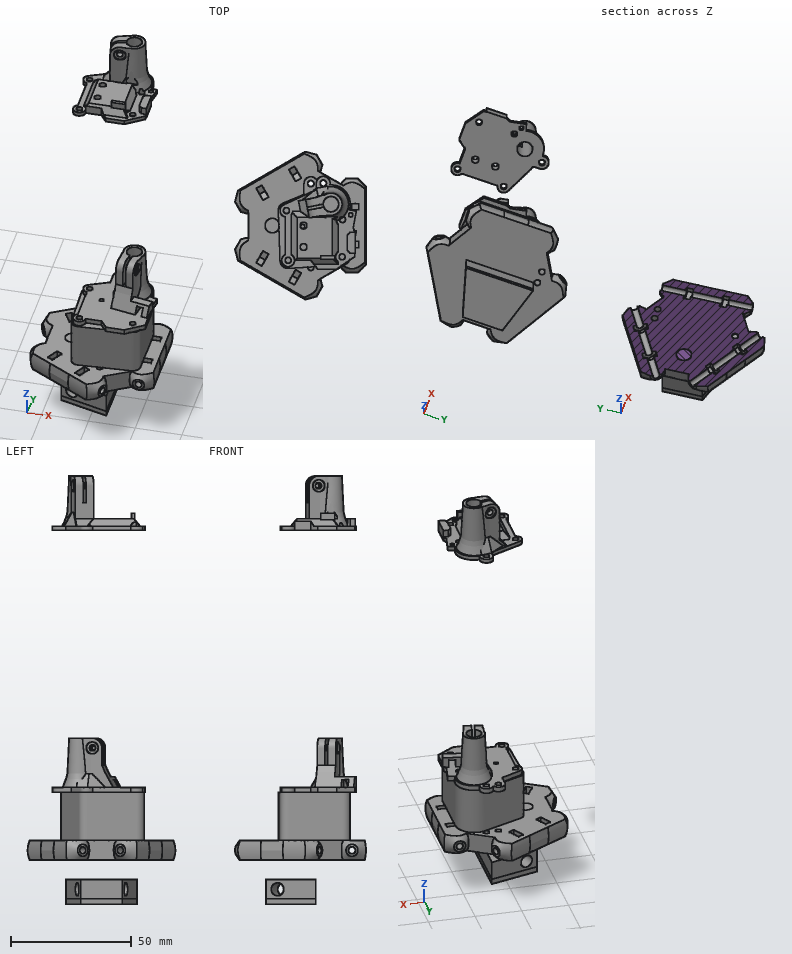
import cadquery as cq
import math

LID_HEIGHT = 2.3
BLOCK_TOP = 10.3
PLATE_BOTTOM = 18.3
PLATE_TOP = 26.5
MOTOR_TOP = 46.5
LOWER_TOP = 69.0
UPPER_BOTTOM = 155.5
UPPER_TOP = 178.0

PLATE_MID = (PLATE_BOTTOM + PLATE_TOP) / 2
ARM_COUNT = 3
ARM_ANGLE = 360 / ARM_COUNT
NOTCH_DISTANCE = 22.8
ARM_FACE = 25.6
ARM_BULGE = 0.5
ARM_INNER = 16.0
ARM_HALF_LENGTH = 19.5
ARM_AXIS = 20.3
ARM_TIP_RADIUS = 2.5
ARM_SCREW_RADIUS = 1.5
FLAT_HALF_LENGTH = 5.3
NUT_OFFSET = 7.8
NUT_ACROSS_FLATS = 5.7
NUT_THICKNESS = 2.7
DISC_X = -12.8
DISC_RADIUS = 3.0

BLOCK_BACK = -15.5
BLOCK_FRONT = 5.3
BLOCK_BACK_HALF = 8.7
BLOCK_FRONT_HALF = 14.8
BLOCK_HOLE_X = -10.7
BLOCK_HOLE_Z = 6.2
BLOCK_HOLE_RADIUS = 2.7

TOWER = (11.5, 8.9)
TOWER_SEAT_RADIUS = 8.0
SCREWS = [(-7.0, 6.2), (-6.2, -14.5), (16.2, -13.0), (16.4, 2.5)]
BACK_LEFT, FRONT_LEFT, FRONT_RIGHT, BACK_RIGHT = SCREWS
MOTOR_CORNER_RADIUS = 3.4
SCREW_BOSS_RADIUS = 2.7
SCREW_HOLE_RADIUS = 1.2
LEFT_EAR = (3.2, 17.5)
RIGHT_EAR = (8.4, 17.6)
LOWER_EARS = [LEFT_EAR, RIGHT_EAR]
UPPER_EARS = [RIGHT_EAR]
EAR_RADIUS = 2.8
EAR_HOLE_RADIUS = 1.2
LOWER_FLANGE = 2.1
UPPER_FLANGE = 1.8

TOWER_TOP_RADIUS = 4.6
TOWER_FOOT_RADIUS = 5.3
FLARE_RADIUS = 7.3
FLARE_HEIGHT = 3.5
FLARE_TOP_RADIUS = 5.9
FLARE_TIP_HEIGHT = 5.7
BORE_RADIUS = 3.2
CLAMP_REACH = 10.0
CLAMP_HALF_WIDTH = 4.0
CLAMP_WEB_START = (3.4, 4.3)
CLAMP_WEB_END = 5.3
GUSSET_FOOT = [(0, -1.8), (11.8, -3.7), (4.6, -7.7), (0, -7.7)]
GUSSET_TOP = [(0, -1.8), (6.2, -3.7), (4.6, -4.3), (0, -4.3)]
CLAMP_ROUND = 4.1
CLAMP_SLOT_WIDTH = 1.2
CLAMP_SLOT_DEPTH = 11.2
CLAMP_SCREW_RADIUS = 1.2
CLAMP_HEAD_RADIUS = 2.5
CLAMP_HEAD_DEPTH = 0.5
CLAMP_SKEW = 11
LOWER_CLAMP_ANGLE = 270 - CLAMP_SKEW
UPPER_CLAMP_ANGLE = 180 + CLAMP_SKEW

WEDGE_FOOT = 14.8
WEDGE_BREAK = (11.2, 55.0)
WEDGE_SIDE = 12.5
WEDGE_SIDE_BACK = 8.9
WEDGE_SIDE_TOP = 53.0
WEDGE_WINDOW = (7.1, 10.0)
WEDGE_WINDOW_HEIGHT = 3.2
LOWER_PIN_HOLE = (-0.2, -0.4)
UPPER_PIN_HOLE = (19.8, 4.5)
PIN_HOLE_RADIUS = 0.9

PAD_TOP = 160.2
PAD_X = (-2.5, 12.1)
PAD_Y = (-13.5, 3.4)
PAD_SLOPE = 2.5
PAD_HOLES = [(0.2, 0), (0.2, -8.9)]
PAD_HOLE_RADIUS = 1.5
TOE_REACH = 13.0
TOWER_FLAT_X = (9.5, 14.2)
TOWER_FLAT_Y = 3.7
RIB_X = (7.3, 13.2)
RIB_Y = (-13.9, -12.5)
RIB_TOP = 162.5
STOP_X = (18.3, 21.7)
STOP_Y = (-11.5, -2.7)
STOP_BEVEL = 1.2


def box(x_range, y_range, z_range):
    """Box between the given limits on each axis."""
    size = [high - low for low, high in (x_range, y_range, z_range)]
    corner = (x_range[0], y_range[0], z_range[0])
    return cq.Workplane("XY").box(*size, centered=False).translate(corner)


def posts(points, radius, bottom, top):
    """Upright cylinders at the given points."""
    cylinders = cq.Workplane("XY")
    for point in points:
        cylinder = cq.Workplane("XY", origin=(*point, bottom)).circle(radius).extrude(top - bottom)
        cylinders = cylinders.union(cylinder)
    return cylinders


def prism(points, bottom, top):
    """Upright prism on a polygon."""
    return cq.Workplane("XY").workplane(offset=bottom).polyline(points).close().extrude(top - bottom)


def belt(circles, bottom, top):
    """Prism on the outline of a belt stretched around circles (x, y, radius) in anticlockwise order."""
    starts = []
    ends = []
    angles = []
    for (x1, y1, r1), (x2, y2, r2) in zip(circles, circles[1:] + circles[:1]):
        heading = math.atan2(y2 - y1, x2 - x1)
        angle = heading - math.acos((r1 - r2) / math.hypot(x2 - x1, y2 - y1))
        angles.append(angle)
        starts.append((x1 + r1 * math.cos(angle), y1 + r1 * math.sin(angle)))
        ends.append((x2 + r2 * math.cos(angle), y2 + r2 * math.sin(angle)))
    outline = cq.Workplane("XY").workplane(offset=bottom).moveTo(*starts[0])
    for i, end in enumerate(ends):
        following = (i + 1) % len(circles)
        x, y, radius = circles[following]
        turn = (angles[following] - angles[i]) % (2 * math.pi)
        middle = angles[i] + turn / 2
        peak = (x + radius * math.cos(middle), y + radius * math.sin(middle))
        outline = outline.lineTo(*end).threePointArc(peak, starts[following])
    return outline.close().extrude(top - bottom)


def plate_core():
    """Six-sided core: three near edges between the arms, three far edges behind the arm faces."""
    half_turn = math.radians(ARM_ANGLE / 2)
    half_edge = (NOTCH_DISTANCE - ARM_FACE * math.cos(half_turn)) / math.sin(half_turn)
    points = []
    for i in range(ARM_COUNT):
        angle = math.radians(ARM_ANGLE * i)
        for side in (-half_edge, half_edge):
            x = ARM_FACE * math.cos(angle) - side * math.sin(angle)
            y = ARM_FACE * math.sin(angle) + side * math.cos(angle)
            points.append((x, y))
    return prism(points, PLATE_BOTTOM, PLATE_TOP)


def arm_bar(half_length, rounded):
    """Bar along Y whose outer face swells, as an arc or as two flats."""
    peak = (ARM_FACE + ARM_BULGE, PLATE_MID)
    bar = cq.Workplane("XZ", origin=(0, half_length, 0)).moveTo(ARM_INNER, PLATE_BOTTOM)
    bar = bar.lineTo(ARM_FACE, PLATE_BOTTOM)
    if rounded:
        bar = bar.threePointArc(peak, (ARM_FACE, PLATE_TOP))
    else:
        bar = bar.lineTo(*peak).lineTo(ARM_FACE, PLATE_TOP)
    return bar.lineTo(ARM_INNER, PLATE_TOP).close().extrude(2 * half_length)


def plate_arm():
    """Arm along Y with tips tapered at 45 degrees around its screw axis."""
    middle = box((0, 2 * ARM_FACE), (-FLAT_HALF_LENGTH, FLAT_HALF_LENGTH), (PLATE_BOTTOM, PLATE_TOP))
    arm = arm_bar(ARM_HALF_LENGTH, True).cut(middle).union(arm_bar(FLAT_HALF_LENGTH, False))
    waist = ARM_TIP_RADIUS + ARM_HALF_LENGTH
    profile = [
        (0, ARM_HALF_LENGTH), (ARM_TIP_RADIUS, ARM_HALF_LENGTH), (waist, 0),
        (ARM_TIP_RADIUS, -ARM_HALF_LENGTH), (0, -ARM_HALF_LENGTH),
    ]
    taper = cq.Workplane("XY").polyline(profile).close().revolve(360, (0, 0, 0), (0, 1, 0))
    return arm.intersect(taper.translate((ARM_AXIS, 0, PLATE_MID)))


def arm_cutters():
    """Screw hole along the arm and two nut slots that open upward."""
    hole = cq.Workplane("XZ", origin=(ARM_AXIS, ARM_HALF_LENGTH, PLATE_MID)).circle(ARM_SCREW_RADIUS)
    cutters = hole.extrude(2 * ARM_HALF_LENGTH)
    across_corners = NUT_ACROSS_FLATS / math.cos(math.radians(30))
    half_width = NUT_ACROSS_FLATS / 2
    for y in (-NUT_OFFSET, NUT_OFFSET):
        y_range = (y - NUT_THICKNESS / 2, y + NUT_THICKNESS / 2)
        nut = cq.Workplane("XZ", origin=(ARM_AXIS, y_range[1], PLATE_MID)).transformed(rotate=(0, 0, 90))
        nut = nut.polygon(6, across_corners).extrude(NUT_THICKNESS)
        opening = box((ARM_AXIS - half_width, ARM_AXIS + half_width), y_range, (PLATE_MID, PLATE_TOP))
        cutters = cutters.union(nut).union(opening)
    return cutters


def make_plate():
    plate = plate_core()
    for i in range(ARM_COUNT):
        plate = plate.union(plate_arm().rotate((0, 0, 0), (0, 0, 1), ARM_ANGLE * i))
    for i in range(ARM_COUNT):
        plate = plate.cut(arm_cutters().rotate((0, 0, 0), (0, 0, 1), ARM_ANGLE * i))
    ear_x, ear_y = LEFT_EAR
    plate = plate.cut(posts(LOWER_EARS, EAR_HOLE_RADIUS, PLATE_BOTTOM, PLATE_TOP))
    plate = plate.cut(posts([(ear_x, -ear_y)], EAR_HOLE_RADIUS, PLATE_MID, PLATE_TOP))
    return plate.cut(make_disc())


def make_disc():
    """Disc set flush in the plate."""
    return posts([(DISC_X, 0)], DISC_RADIUS, PLATE_BOTTOM, PLATE_TOP)


def tapered_slab(bottom, top):
    points = [
        (BLOCK_BACK, -BLOCK_BACK_HALF), (BLOCK_FRONT, -BLOCK_FRONT_HALF),
        (BLOCK_FRONT, BLOCK_FRONT_HALF), (BLOCK_BACK, BLOCK_BACK_HALF),
    ]
    return prism(points, bottom, top)


def make_block():
    """Block with a hole square to each slanted side; the two holes meet in the middle."""
    block = tapered_slab(LID_HEIGHT, BLOCK_TOP)
    slope = (BLOCK_FRONT_HALF - BLOCK_BACK_HALF) / (BLOCK_FRONT - BLOCK_BACK)
    face_y = BLOCK_BACK_HALF + slope * (BLOCK_HOLE_X - BLOCK_BACK)
    meeting_x = BLOCK_HOLE_X + slope * face_y
    length = 2 * math.hypot(meeting_x - BLOCK_HOLE_X, face_y)
    for side in (-1, 1):
        start = cq.Vector(meeting_x, 0, BLOCK_HOLE_Z)
        direction = cq.Vector(-slope, side, 0)
        block = block.cut(cq.Workplane(cq.Solid.makeCylinder(BLOCK_HOLE_RADIUS, length, start, direction)))
    return block


def make_lid():
    return tapered_slab(0, LID_HEIGHT)


def make_motor():
    corners = [(x, y, MOTOR_CORNER_RADIUS) for x, y in (BACK_LEFT, FRONT_LEFT, FRONT_RIGHT)]
    return belt(corners + [(*TOWER, TOWER_SEAT_RADIUS)], PLATE_TOP, MOTOR_TOP)


def flange(bottom, top, ears):
    """Flange with screw bosses, a round seat under the tower and ears beside it."""
    outline = [
        (-7.5, 6.2), (-7.5, -14.5), (3.2, -14.5), (6.0, -18.2),
        (13.9, -18.2), (21.5, -12.8), (21.5, -2.7), (20.8, -0.9), (22.0, 5.9), TOWER,
    ]
    body = prism(outline, bottom, top)
    body = body.union(belt([(*BACK_LEFT, SCREW_BOSS_RADIUS), (*TOWER, TOWER_SEAT_RADIUS)], bottom, top))
    body = body.union(posts(SCREWS, SCREW_BOSS_RADIUS, bottom, top))
    body = body.union(posts(ears, EAR_RADIUS, bottom, top))
    for x, y in ears:
        body = body.union(box((x - EAR_RADIUS, x + EAR_RADIUS), (TOWER[1], y), (bottom, top)))
    return body


def place_on_tower(shape, angle):
    """Turn a shape built around the Z axis and move it onto the tower axis."""
    return shape.rotate((0, 0, 0), (0, 0, 1), angle).translate((*TOWER, 0))


def clamp_gusset(flange_top):
    """Sloping gusset that runs from the flare along one flank of the clamp."""
    gusset = cq.Workplane("XY", origin=(0, 0, flange_top)).polyline(GUSSET_FOOT).close()
    return gusset.workplane(offset=FLARE_TIP_HEIGHT).polyline(GUSSET_TOP).close().loft(ruled=True)


def tower(bottom, flange_top, top, angle):
    """Tapered tower on a flared foot, with a clamp block that reaches out along X before turning."""
    profile = [
        (0, bottom), (FLARE_RADIUS, bottom), (FLARE_RADIUS, flange_top),
        (FLARE_TOP_RADIUS, flange_top + FLARE_HEIGHT),
        (TOWER_FOOT_RADIUS, flange_top + FLARE_TIP_HEIGHT), (TOWER_TOP_RADIUS, top), (0, top),
    ]
    body = cq.Workplane("XZ").polyline(profile).close().revolve(360, (0, 0, 0), (0, 1, 0))
    clamp = box((0, CLAMP_REACH), (-CLAMP_HALF_WIDTH, CLAMP_HALF_WIDTH), (bottom, top))
    body = body.union(clamp.edges(">X and >Z").fillet(CLAMP_ROUND))
    web_x, web_y = CLAMP_WEB_START
    web = [
        (0, -web_y), (web_x, -web_y), (CLAMP_WEB_END, -CLAMP_HALF_WIDTH),
        (CLAMP_WEB_END, CLAMP_HALF_WIDTH), (web_x, web_y), (0, web_y),
    ]
    body = body.union(prism(web, bottom, top)).union(clamp_gusset(flange_top))
    return place_on_tower(body, angle)


def tower_cutters(bottom, top, angle):
    """Bore of the tower, slot of the clamp, and the clamp screw hole with a shallow seat at each end."""
    bore = posts([(0, 0)], BORE_RADIUS, bottom, top)
    half_slot = CLAMP_SLOT_WIDTH / 2
    slot = box((0, CLAMP_REACH), (-half_slot, half_slot), (top - CLAMP_SLOT_DEPTH, top))
    screw_x = CLAMP_REACH - CLAMP_ROUND
    screw_z = top - CLAMP_ROUND
    screw = cq.Workplane("XZ", origin=(screw_x, 0, screw_z)).circle(CLAMP_SCREW_RADIUS)
    cutters = bore.union(slot).union(screw.extrude(CLAMP_HALF_WIDTH, both=True))
    floor_y = CLAMP_HALF_WIDTH - CLAMP_HEAD_DEPTH
    seat_depth = FLARE_RADIUS - floor_y
    for far_y in (FLARE_RADIUS, -floor_y):
        seat = cq.Workplane("XZ", origin=(screw_x, far_y, screw_z)).circle(CLAMP_HEAD_RADIUS)
        cutters = cutters.union(seat.extrude(seat_depth))
    return place_on_tower(cutters, angle)


def flange_holes(bottom, top, ears):
    return posts(SCREWS, SCREW_HOLE_RADIUS, bottom, top).union(posts(ears, EAR_HOLE_RADIUS, bottom, top))


def lower_wedge(flange_top):
    """Sloping foot in front of the clamp, with a lower wing to one side that has a window."""
    slope_top = LOWER_TOP - CLAMP_SLOT_DEPTH
    profile = [
        (0, flange_top), (WEDGE_FOOT, flange_top), WEDGE_BREAK, (CLAMP_REACH, slope_top), (0, slope_top),
    ]
    wedge = cq.Workplane("XZ", origin=(0, WEDGE_SIDE, 0)).polyline(profile).close()
    wedge = wedge.extrude(WEDGE_SIDE + CLAMP_HALF_WIDTH)
    side = (CLAMP_HALF_WIDTH, WEDGE_SIDE)
    wedge = wedge.cut(box((0, WEDGE_SIDE_BACK), side, (flange_top, slope_top)))
    wedge = wedge.cut(box((0, WEDGE_FOOT), side, (WEDGE_SIDE_TOP, slope_top)))
    window = box((0, WEDGE_FOOT), WEDGE_WINDOW, (flange_top, flange_top + WEDGE_WINDOW_HEIGHT))
    return place_on_tower(wedge.cut(window), LOWER_CLAMP_ANGLE)


def make_lower_mount():
    flange_top = MOTOR_TOP + LOWER_FLANGE
    mount = flange(MOTOR_TOP, flange_top, LOWER_EARS)
    mount = mount.union(tower(MOTOR_TOP, flange_top, LOWER_TOP, LOWER_CLAMP_ANGLE))
    mount = mount.union(lower_wedge(flange_top))
    mount = mount.cut(tower_cutters(MOTOR_TOP, LOWER_TOP, LOWER_CLAMP_ANGLE))
    mount = mount.cut(flange_holes(MOTOR_TOP, flange_top, LOWER_EARS))
    return mount.cut(posts([LOWER_PIN_HOLE], PIN_HOLE_RADIUS, MOTOR_TOP, flange_top))


def upper_pad(flange_top):
    """Raised pad with sloping sides, trimmed to the flange and cleared around the screw bosses."""
    x_size = PAD_X[1] - PAD_X[0]
    y_size = PAD_Y[1] - PAD_Y[0]
    center = ((PAD_X[0] + PAD_X[1]) / 2, (PAD_Y[0] + PAD_Y[1]) / 2)
    foot = cq.Workplane("XY", origin=(*center, flange_top))
    foot = foot.rect(x_size + 2 * PAD_SLOPE, y_size + 2 * PAD_SLOPE)
    pad = foot.workplane(offset=PAD_TOP - flange_top).rect(x_size, y_size).loft()
    pad = pad.intersect(flange(flange_top, PAD_TOP, UPPER_EARS))
    return pad.cut(posts(SCREWS, SCREW_BOSS_RADIUS, flange_top, PAD_TOP))


def upper_toe(flange_top):
    """Slope from the pad height down to the flange in front of the clamp."""
    profile = [(0, flange_top), (TOE_REACH, flange_top), (CLAMP_REACH, PAD_TOP), (0, PAD_TOP)]
    toe = cq.Workplane("XZ", origin=(0, CLAMP_HALF_WIDTH, 0)).polyline(profile).close()
    return place_on_tower(toe.extrude(2 * CLAMP_HALF_WIDTH), UPPER_CLAMP_ANGLE)


def make_upper_mount():
    flange_top = UPPER_BOTTOM + UPPER_FLANGE
    mount = flange(UPPER_BOTTOM, flange_top, UPPER_EARS)
    mount = mount.union(upper_pad(flange_top))
    mount = mount.union(tower(UPPER_BOTTOM, flange_top, UPPER_TOP, UPPER_CLAMP_ANGLE))
    mount = mount.union(upper_toe(flange_top))
    mount = mount.cut(box(TOWER_FLAT_X, (0, TOWER_FLAT_Y), (PAD_TOP, UPPER_TOP)))
    mount = mount.union(box(RIB_X, RIB_Y, (flange_top, RIB_TOP)))
    stop = box(STOP_X, STOP_Y, (UPPER_BOTTOM, PAD_TOP)).edges("|Z and <X").chamfer(STOP_BEVEL)
    mount = mount.union(stop)
    mount = mount.cut(tower_cutters(UPPER_BOTTOM, UPPER_TOP, UPPER_CLAMP_ANGLE))
    mount = mount.cut(flange_holes(UPPER_BOTTOM, PAD_TOP, UPPER_EARS))
    mount = mount.cut(posts([UPPER_PIN_HOLE], PIN_HOLE_RADIUS, UPPER_BOTTOM, flange_top))
    return mount.cut(posts(PAD_HOLES, PAD_HOLE_RADIUS, UPPER_BOTTOM, PAD_TOP))


lid = make_lid()
block = make_block()
plate = make_plate()
disc = make_disc()
motor = make_motor()
lower_mount = make_lower_mount()
upper_mount = make_upper_mount()

bodies = [lid, block, plate, disc, motor, lower_mount, upper_mount]
result = cq.Compound.makeCompound([body.solids().val() for body in bodies])